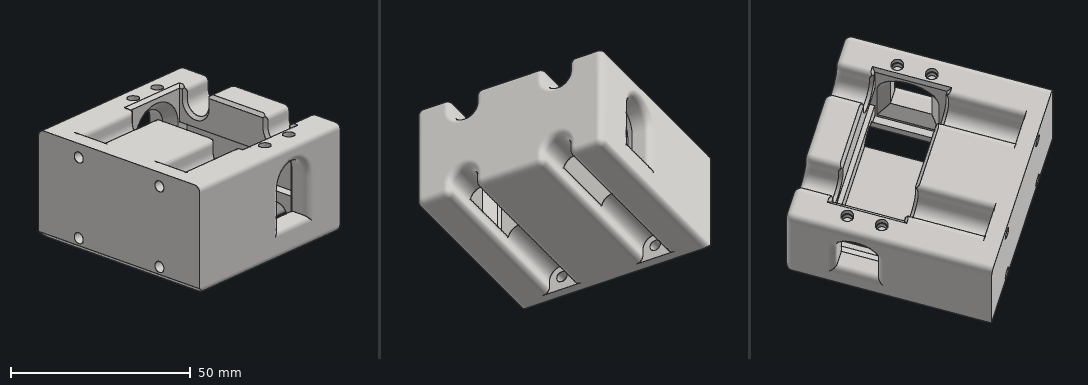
import cadquery as cq

LENGTH = 60
HEIGHT = 33
MID_Z = HEIGHT / 2
ROUNDING = LENGTH / 30
RIM_CHAMFER = ROUNDING / 2
BACK_Y = LENGTH / 2
FRONT_Y = -LENGTH / 2

GROOVE_X = LENGTH / 4
GROOVE_RADIUS = 2 * ROUNDING
GROOVE_DEPTH = 2 * GROOVE_RADIUS
GROOVE_AXIS_Z = HEIGHT - GROOVE_DEPTH + GROOVE_RADIUS
GROOVE_FRONT_Y = FRONT_Y + 2.5 * ROUNDING

POCKET_X = 42
POCKET_Y = 21
POCKET_BACK_Y = BACK_Y - 5.5 * ROUNDING
POCKET_MID_Y = POCKET_BACK_Y - POCKET_Y / 2
POCKET_FLOOR_Z = 2.5 * ROUNDING

SLOT_HEIGHT = 10.5
SLOT_DEPTH = 3

WINDOW_Y = 9.35
WINDOW_WIDTH = 12
WINDOW_SILL_Z = 9
WINDOW_ARCH_Z = 21.5
WINDOW_FLARE = 3

LONG_HOLE_DIAMETER = 3.3
LONG_HOLE_SPACING_Z = 24.5
TOP_HOLE_X = 24.5
TOP_HOLE_SPACING_Y = 5 * ROUNDING
TOP_HOLE_DIAMETER = 3
TOP_HOLE_STEP_DIAMETER = 3.5
TOP_HOLE_STEP_DEPTH = 2.05
TOP_HOLE_DEPTH = 4.0


def box(x_size, y_min, y_max, z_min, z_max):
    """Box centred on X = 0."""
    return cq.Workplane("XY", origin=(0, y_min, z_min)).box(
        x_size, y_max - y_min, z_max - z_min, centered=(True, False, False)
    )


def groove_profile(x, y, half_width, top_z):
    """U outline on the plane at y, with its round bottom centred on the groove axis."""
    return (
        cq.Workplane("XZ", origin=(x, y, 0))
        .moveTo(-half_width, top_z)
        .lineTo(-half_width, GROOVE_AXIS_Z)
        .threePointArc((0, GROOVE_AXIS_Z - half_width), (half_width, GROOVE_AXIS_Z))
        .lineTo(half_width, top_z)
        .close()
    )


def groove(x):
    """Straight groove in the top, open at the back."""
    return groove_profile(x, BACK_Y, GROOVE_RADIUS, HEIGHT).extrude(BACK_Y - GROOVE_FRONT_Y)


def groove_mouth(x):
    """Tapered cutter that chamfers a groove's rim where it meets the back wall of the pocket."""
    half_width = GROOVE_RADIUS + RIM_CHAMFER
    above_block = HEIGHT + half_width
    return groove_profile(x, POCKET_BACK_Y, half_width, above_block).extrude(-RIM_CHAMFER, taper=45)


def window_profile(x, offset):
    """Arch outline on the plane at x, grown outwards by offset."""
    half_width = WINDOW_WIDTH / 2 + offset
    sill_z = WINDOW_SILL_Z - offset
    return (
        cq.Workplane("YZ", origin=(x, WINDOW_Y, 0))
        .moveTo(-half_width, sill_z)
        .lineTo(-half_width, WINDOW_ARCH_Z)
        .threePointArc((0, WINDOW_ARCH_Z + half_width), (half_width, WINDOW_ARCH_Z))
        .lineTo(half_width, sill_z)
        .close()
    )


def y_mirrored_about_pocket(shape):
    """Copy of a shape on the opposite side of the pocket's middle plane."""
    return shape.mirror("XZ", (0, POCKET_MID_Y, 0))


body = box(LENGTH, FRONT_Y, BACK_Y, 0, HEIGHT)
for x in (-GROOVE_X, GROOVE_X):
    top_groove = groove(x)
    body = body.cut(top_groove).cut(top_groove.mirror("XY", (0, 0, MID_Z)))
body = body.edges("(|Y and (>Z or <Z)) or >Y").fillet(ROUNDING)

front_chamfer = (
    cq.Workplane("YZ", origin=(-LENGTH / 2, 0, 0))
    .moveTo(FRONT_Y, 0)
    .lineTo(FRONT_Y + ROUNDING, 0)
    .lineTo(FRONT_Y, ROUNDING)
    .close()
    .extrude(LENGTH)
)
body = body.cut(front_chamfer)

body = body.cut(window_profile(-LENGTH / 2, 0).extrude(LENGTH))
for side in ("<X", ">X"):
    window_mouth = body.faces(side).val().innerWires()[0].Edges()
    body = body.newObject(window_mouth).fillet(ROUNDING)
flare = window_profile(POCKET_X / 2, WINDOW_FLARE).extrude(WINDOW_FLARE, taper=45)
body = body.cut(flare).cut(flare.mirror("YZ"))

body = body.cut(box(POCKET_X, POCKET_BACK_Y - POCKET_Y, POCKET_BACK_Y, POCKET_FLOOR_Z, HEIGHT))
rim = (
    cq.Workplane("XY", origin=(0, POCKET_MID_Y, HEIGHT))
    .rect(POCKET_X + 2 * RIM_CHAMFER, POCKET_Y + 2 * RIM_CHAMFER)
    .extrude(-RIM_CHAMFER, taper=45)
)
body = body.cut(rim)
for x in (-GROOVE_X, GROOVE_X):
    mouth_cut = groove_mouth(x)
    body = body.cut(mouth_cut).cut(y_mirrored_about_pocket(mouth_cut))

body = body.cut(
    box(POCKET_X, POCKET_BACK_Y, POCKET_BACK_Y + SLOT_DEPTH, MID_Z - SLOT_HEIGHT / 2, MID_Z + SLOT_HEIGHT / 2)
)

long_holes = (
    cq.Workplane("XZ", origin=(0, BACK_Y, MID_Z))
    .rarray(2 * GROOVE_X, LONG_HOLE_SPACING_Z, 2, 2)
    .circle(LONG_HOLE_DIAMETER / 2)
    .extrude(LENGTH)
)
body = body.cut(long_holes)

result = (
    body.faces(">Z")
    .workplane(origin=(0, POCKET_MID_Y, HEIGHT))
    .rarray(2 * TOP_HOLE_X, TOP_HOLE_SPACING_Y, 2, 2)
    .cboreHole(TOP_HOLE_DIAMETER, TOP_HOLE_STEP_DIAMETER, TOP_HOLE_STEP_DEPTH, TOP_HOLE_DEPTH)
)